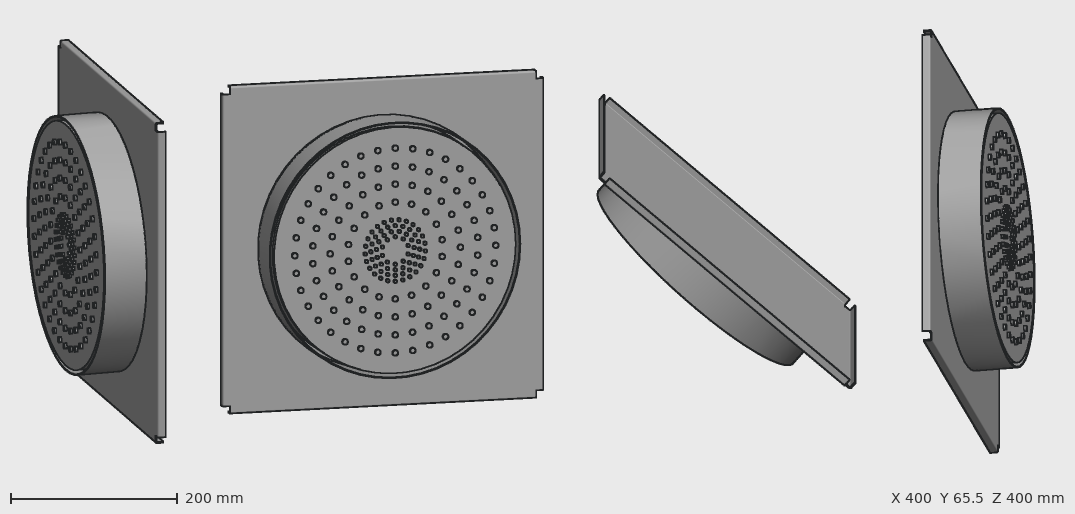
import cadquery as cq
import math

TRAY_SIDE = 400.0
TRAY_DEPTH = 10.0
SHEET = 1.5
BEND_RADIUS = 2.5
FLANGE_LENGTH = 381.0
CORNER_NOTCH = (TRAY_SIDE - FLANGE_LENGTH) / 2

DRUM_RADIUS = 156.5
DRUM_DEPTH = 52.5
DRUM_WALL = 1.0

DISC_RADIUS = 150.5
PLATE_THICKNESS = 8.0
NOZZLE_HEIGHT = 3.0

OUTER_NOZZLE_DIAMETER = 7.0
OUTER_RING_RADII = (59.0, 81.0, 103.0, 125.0)
OUTER_RING_COUNTS = (18, 24, 30, 36)

INNER_NOZZLE_DIAMETER = 4.0
INNER_RING_RADII = (17.0, 23.5, 30.5, 37.5)
INNER_RING_COUNTS = (10, 15, 20, 25)

DRUM_FRONT_Y = -DRUM_DEPTH
PLATE_BACK_Y = DRUM_FRONT_Y + PLATE_THICKNESS
NOZZLE_LENGTH = PLATE_THICKNESS + NOZZLE_HEIGHT


def block(side, y_front, y_back):
    """Square block centred on the Y axis."""
    return cq.Workplane("XZ", origin=(0, y_front, 0)).rect(side, side).extrude(y_front - y_back)


def cylinder(radius, y_front, y_back):
    """Cylinder along the Y axis."""
    return cq.Workplane("XZ", origin=(0, y_front, 0)).circle(radius).extrude(y_front - y_back)


def make_tray():
    shell = block(TRAY_SIDE, 0, TRAY_DEPTH).faces("<Y").edges().fillet(BEND_RADIUS)
    cavity = block(TRAY_SIDE - 2 * SHEET, SHEET, TRAY_DEPTH)
    cavity = cavity.faces("<Y").edges().fillet(BEND_RADIUS - SHEET)
    corner_pitch = TRAY_SIDE - CORNER_NOTCH
    notches = (
        cq.Workplane("XZ")
        .rect(corner_pitch, corner_pitch, forConstruction=True)
        .vertices()
        .rect(CORNER_NOTCH, CORNER_NOTCH)
        .extrude(-TRAY_DEPTH)
    )
    return shell.cut(cavity).cut(notches)


def make_drum():
    wall = cylinder(DRUM_RADIUS, DRUM_FRONT_Y, 0)
    return wall.cut(cylinder(DRUM_RADIUS - DRUM_WALL, DRUM_FRONT_Y, 0))


def ring_points(radius, count):
    """Evenly spaced points on a circle, the first one straight down."""
    angles = [2 * math.pi * i / count - math.pi / 2 for i in range(count)]
    return [(radius * math.cos(angle), radius * math.sin(angle)) for angle in angles]


def spray_field(radii, counts, diameter):
    """Round nozzles on concentric rings, standing on the spray body."""
    points = []
    for radius, count in zip(radii, counts):
        points += ring_points(radius, count)
    plane = cq.Workplane("XZ", origin=(0, PLATE_BACK_Y, 0))
    return plane.pushPoints(points).circle(diameter / 2).extrude(NOZZLE_LENGTH)


def spray_nozzles():
    """All nozzles of both fields, from the back of the face plate to their tips."""
    outer = spray_field(OUTER_RING_RADII, OUTER_RING_COUNTS, OUTER_NOZZLE_DIAMETER)
    inner = spray_field(INNER_RING_RADII, INNER_RING_COUNTS, INNER_NOZZLE_DIAMETER)
    return outer.union(inner)


def make_face_plate(nozzles):
    """Round plate level with the drum rim, with a matching hole for every nozzle."""
    return cylinder(DISC_RADIUS, DRUM_FRONT_Y, PLATE_BACK_Y).cut(nozzles)


def make_spray_body(nozzles):
    """Round block between the tray and the face plate, carrying the nozzles."""
    return cylinder(DISC_RADIUS, PLATE_BACK_Y, 0).union(nozzles)


nozzles = spray_nozzles()
tray = make_tray()
drum = make_drum()
face_plate = make_face_plate(nozzles)
spray_body = make_spray_body(nozzles)

result = cq.Compound.makeCompound([tray.val(), drum.val(), face_plate.val(), spray_body.val()])